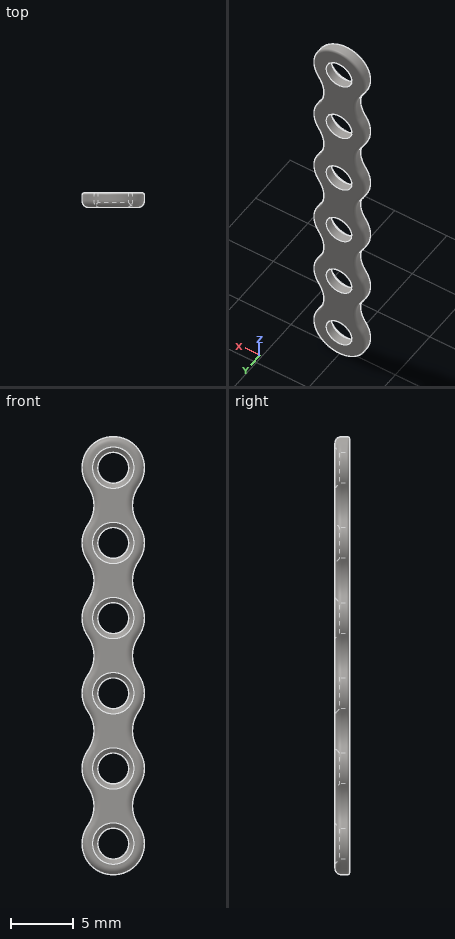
import cadquery as cq
import math

hole_count = 6
pitch = 6.0
ring_radius = 2.5
waist_radius = 2.7
thickness = 1.2
hole_radius = 1.22
countersink_radius = 1.65
countersink_depth = 0.4
front_fillet = 0.55
back_fillet = 0.2

half_length = (hole_count - 1) * pitch / 2
hole_heights = [index * pitch - half_length for index in range(hole_count)]
front_y = -thickness / 2
back_y = thickness / 2

waist_center_x = math.sqrt((ring_radius + waist_radius) ** 2 - (pitch / 2) ** 2)
waist_half_width = waist_center_x - waist_radius
tangent_fraction = ring_radius / (ring_radius + waist_radius)
tangent_x = waist_center_x * tangent_fraction
tangent_rise = pitch / 2 * tangent_fraction


def draw_side(outline, side):
    """Trace one scalloped side, upward for side=1 and downward for side=-1."""
    heights = hole_heights[::side]
    for z, next_z in zip(heights[:-1], heights[1:]):
        outline = outline.threePointArc(
            (side * waist_half_width, (z + next_z) / 2),
            (side * tangent_x, next_z - side * tangent_rise),
        )
        if next_z != heights[-1]:
            outline = outline.threePointArc(
                (side * ring_radius, next_z),
                (side * tangent_x, next_z + side * tangent_rise),
            )
    return outline


def make_plate():
    """Scalloped plate with a large front edge round and a small back one."""
    outline = cq.Workplane("XZ", origin=(0, back_y, 0))
    outline = outline.moveTo(tangent_x, tangent_rise - half_length)
    outline = draw_side(outline, 1)
    outline = outline.threePointArc(
        (0, half_length + ring_radius), (-tangent_x, half_length - tangent_rise)
    )
    outline = draw_side(outline, -1)
    outline = outline.threePointArc(
        (0, -half_length - ring_radius), (tangent_x, tangent_rise - half_length)
    )
    plate = outline.close().extrude(thickness)
    return plate.faces("<Y").edges().fillet(front_fillet).faces(">Y").edges().fillet(back_fillet)


def make_hole(z):
    """Through hole with a conical countersink on the front face."""
    center = cq.Vector(0, front_y, z)
    axis = cq.Vector(0, 1, 0)
    bore = cq.Solid.makeCylinder(hole_radius, thickness, center, axis)
    countersink = cq.Solid.makeCone(countersink_radius, hole_radius, countersink_depth, center, axis)
    return bore.fuse(countersink)


result = make_plate()
for hole_z in hole_heights:
    result = result.cut(make_hole(hole_z))